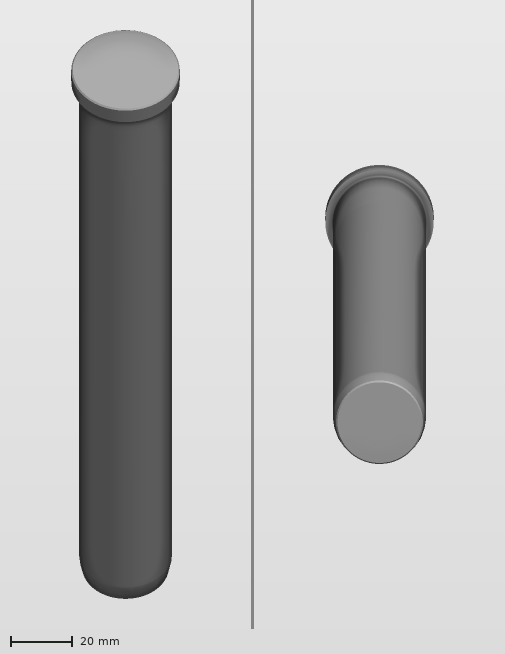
import cadquery as cq
import math

total_length = 240.0
shank_diameter = 30.0
head_diameter = 35.0
head_height = 6.0
head_chamfer = 0.5
neck_fillet = 0.7
head_body_length = 35.5
nose_length = 7.0
nose_inset = 1.0
tip_chamfer = 0.5

shank_radius = shank_diameter / 2
nose_end_radius = shank_radius - nose_inset
nose_arc_height = nose_length - tip_chamfer
top_z = total_length / 2
tip_z = -top_z
head_radius = head_diameter / 2
head_underside_z = top_z - head_height
joint_z = top_z - head_body_length
nose_arc_radius = (nose_arc_height**2 + nose_inset**2) / (2 * nose_inset)


def revolve_about_z(profile):
    """Turn a closed half profile, drawn in the XZ plane, about the Z axis."""
    return profile.close().revolve(360, (0, 0, 0), (0, 1, 0))


def make_headed_pin_end():
    """Upper body: chamfered head with a short length of shank below it."""
    profile = (
        cq.Workplane("XZ")
        .moveTo(0, joint_z)
        .lineTo(shank_radius, joint_z)
        .lineTo(shank_radius, head_underside_z - neck_fillet)
        .radiusArc((shank_radius + neck_fillet, head_underside_z), neck_fillet)
        .lineTo(head_radius, head_underside_z)
        .lineTo(head_radius, top_z - head_chamfer)
        .lineTo(head_radius - head_chamfer, top_z)
        .lineTo(0, top_z)
    )
    return revolve_about_z(profile)


def make_guide_shank():
    """Lower body: long cylinder ending in a rounded lead-in nose with a chamfered tip."""
    nose_start_z = tip_z + nose_length
    half_angle = math.asin(nose_arc_height / nose_arc_radius) / 2
    arc_middle = (
        shank_radius - nose_arc_radius * (1 - math.cos(half_angle)),
        nose_start_z - nose_arc_radius * math.sin(half_angle),
    )
    profile = (
        cq.Workplane("XZ")
        .moveTo(0, tip_z)
        .lineTo(nose_end_radius - tip_chamfer, tip_z)
        .lineTo(nose_end_radius, tip_z + tip_chamfer)
        .threePointArc(arc_middle, (shank_radius, nose_start_z))
        .lineTo(shank_radius, joint_z)
        .lineTo(0, joint_z)
    )
    return revolve_about_z(profile)


headed_pin_end = make_headed_pin_end()
guide_shank = make_guide_shank()

result = cq.Compound.makeCompound([headed_pin_end.val(), guide_shank.val()])